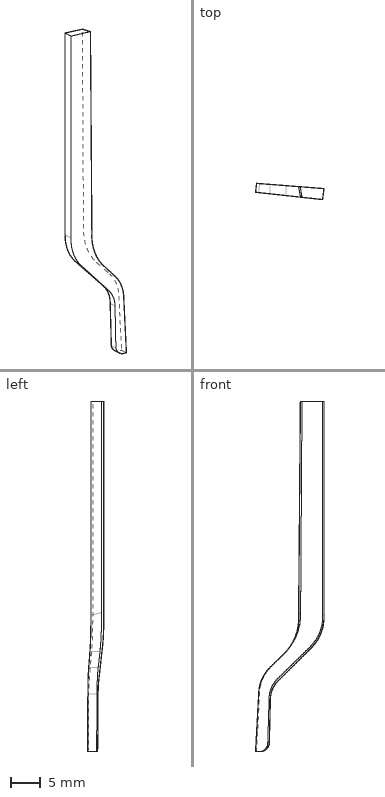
import cadquery as cq
import math

height = 59.0
bend_turn = 45.0
tip_turn = 65.0

front_left = (0.0, 1.25)
front_right = (11.3, 0.0)
back_left = (0.2, 2.8)
back_right = (11.55, 1.9)

front_corners = {
    "tip_flat_end": (0.9, 0.0),
    "tip_round_end": (2.05, 1.2),
    "inner_low_start": (2.3, 8.85),
    "inner_low_end": (3.6, 12.15),
    "outer_high_start": (9.4, 17.8),
    "outer_high_end": (11.3, 22.9),
    "top_right": (11.3, height),
    "top_left": (7.85, height),
    "inner_high_start": (7.6, 23.4),
    "inner_high_end": (5.2, 16.9),
    "outer_low_start": (2.4, 14.15),
    "outer_low_end": (0.55, 9.75),
    "tip_left": (0.0, 0.0),
}
back_corners = {
    "tip_flat_end": (1.05, 0.0),
    "tip_round_end": (2.35, 1.3),
    "inner_low_start": (2.55, 8.85),
    "inner_low_end": (3.9, 12.0),
    "outer_high_start": (9.6, 17.65),
    "outer_high_end": (11.55, 22.9),
    "top_right": (11.55, height),
    "top_left": (7.55, height),
    "inner_high_start": (7.25, 22.95),
    "inner_high_end": (5.2, 16.9),
    "outer_low_start": (2.5, 14.15),
    "outer_low_end": (0.7, 9.75),
    "tip_left": (0.2, 0.0),
}


def arc_middle(start, end, turn):
    """Middle of an arc turning by `turn` degrees; positive turns anticlockwise."""
    half_bulge = math.tan(math.radians(turn) / 4) / 2
    across = end[0] - start[0]
    up = end[1] - start[1]
    middle_x = (start[0] + end[0]) / 2 + up * half_bulge
    middle_z = (start[1] + end[1]) / 2 - across * half_bulge
    return (middle_x, middle_z)


def face_outline(corners, left, right):
    """Closed outline of one broad face, laid on its vertical plane."""
    slope = (right[1] - left[1]) / (right[0] - left[0])

    def on_face(point):
        x, z = point
        return cq.Vector(x, left[1] + slope * (x - left[0]), z)

    def line(start, end):
        return cq.Edge.makeLine(on_face(corners[start]), on_face(corners[end]))

    def arc(start, end, turn):
        middle = arc_middle(corners[start], corners[end], turn)
        return cq.Edge.makeThreePointArc(
            on_face(corners[start]), on_face(middle), on_face(corners[end])
        )

    return cq.Wire.assembleEdges([
        line("tip_left", "tip_flat_end"),
        arc("tip_flat_end", "tip_round_end", tip_turn),
        line("tip_round_end", "inner_low_start"),
        arc("inner_low_start", "inner_low_end", -bend_turn),
        line("inner_low_end", "outer_high_start"),
        arc("outer_high_start", "outer_high_end", bend_turn),
        line("outer_high_end", "top_right"),
        line("top_right", "top_left"),
        line("top_left", "inner_high_start"),
        arc("inner_high_start", "inner_high_end", -bend_turn),
        line("inner_high_end", "outer_low_start"),
        arc("outer_low_start", "outer_low_end", bend_turn),
        line("outer_low_end", "tip_left"),
    ])


front_outline = face_outline(front_corners, front_left, front_right)
back_outline = face_outline(back_corners, back_left, back_right)
result = cq.Workplane(cq.Solid.makeLoft([front_outline, back_outline], True))